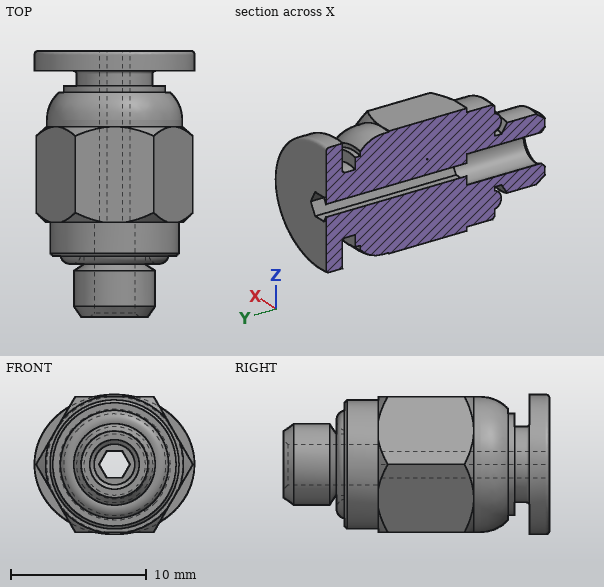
import cadquery as cq
import math


LENGTH = 19.6
THREAD_END = 3.9
COLLAR_START = 4.49
NUT_START = 7.0
NUT_END = 14.01
DOME_START = 14.5
DOME_END = 16.55
RIM_END = 17.01
FLANGE_START = 18.11

THREAD_DIA = 6.0
TIP_DIA = 4.9
TIP_CHAMFER_LENGTH = 0.78
NECK_DIA = 4.5
NECK_TAPER_START = 3.41
BORE_DIA = 3.0
BORE_MOUTH_DIA = 3.65
BORE_MOUTH_DEPTH = (BORE_MOUTH_DIA - BORE_DIA) / 2
BORE_DEPTH = NUT_START
HEX_SOCKET_FLATS = 1.96

SEAL_DIA = 8.0
SEAL_SECTION_RADIUS = 0.75
COLLAR_DIA = 9.5
COLLAR_CHAMFER = 0.22

NUT_FLATS = 10.0
NUT_CHAMFER_LENGTH = 0.69
NUT_LOWER_FACE_DIA = 10.15
NUT_UPPER_FACE_DIA = NUT_FLATS

DOME_DIA = 10.0
DOME_RADIUS = 2.75
RIM_DIA = 7.5
SLEEVE_DIA = 5.6
SLEEVE_FILLET = 0.22

FLANGE_WIDTH = 11.8
FLANGE_HEIGHT = 10.3
FLANGE_FILLET = 0.3


def section_at(y):
    """Sketch plane across the axis at the given Y, facing +Y."""
    return cq.Workplane("XZ", origin=(0, y, 0)).workplane(invert=True)


def cylinder(diameter, start, end):
    return section_at(start).circle(diameter / 2).extrude(end - start)


def hexagon(flats, start, end):
    """Hexagonal prism with its corners on the X axis."""
    corners = flats / math.cos(math.pi / 6)
    return section_at(start).polygon(6, corners).extrude(end - start)


def spin(profile):
    """Revolve a closed XY profile about the Y axis."""
    return profile.close().revolve(360, (0, 0, 0), (0, 1, 0))


def threaded_end():
    thread_radius = THREAD_DIA / 2
    neck_radius = NECK_DIA / 2
    outline = [
        (0, 0),
        (TIP_DIA / 2, 0),
        (thread_radius, TIP_CHAMFER_LENGTH),
        (thread_radius, NECK_TAPER_START),
        (neck_radius, THREAD_END),
        (neck_radius, COLLAR_START),
        (0, COLLAR_START),
    ]
    return spin(cq.Workplane("XY").polyline(outline))


def sealing_ring():
    """Torus partly sunk into the collar."""
    centre_radius = SEAL_DIA / 2 - SEAL_SECTION_RADIUS
    section = cq.Workplane("XY").center(centre_radius, THREAD_END + SEAL_SECTION_RADIUS)
    axis_offset = -centre_radius
    return section.circle(SEAL_SECTION_RADIUS).revolve(360, (axis_offset, 0, 0), (axis_offset, 1, 0))


def collar():
    return cylinder(COLLAR_DIA, COLLAR_START, NUT_START).faces("<Y").chamfer(COLLAR_CHAMFER)


def nut():
    """Hexagonal prism whose corners are cut back by a cone at each end."""
    corner_radius = NUT_FLATS / 2 / math.cos(math.pi / 6)
    outline = [
        (0, NUT_START),
        (NUT_LOWER_FACE_DIA / 2, NUT_START),
        (corner_radius, NUT_START + NUT_CHAMFER_LENGTH),
        (corner_radius, NUT_END - NUT_CHAMFER_LENGTH),
        (NUT_UPPER_FACE_DIA / 2, NUT_END),
        (0, NUT_END),
    ]
    envelope = spin(cq.Workplane("XY").polyline(outline))
    return hexagon(NUT_FLATS, NUT_START, NUT_END).intersect(envelope)


def dome():
    """Short cylinder closed by an arc tangent to its side."""
    base_radius = DOME_DIA / 2
    arc_centre = base_radius - DOME_RADIUS
    rise = DOME_END - DOME_START
    top_radius = arc_centre + math.sqrt(DOME_RADIUS**2 - rise**2)
    half_angle = math.asin(rise / DOME_RADIUS) / 2
    arc_middle = (
        arc_centre + DOME_RADIUS * math.cos(half_angle),
        DOME_START + DOME_RADIUS * math.sin(half_angle),
    )
    profile = (
        cq.Workplane("XY")
        .moveTo(0, NUT_END)
        .lineTo(base_radius, NUT_END)
        .lineTo(base_radius, DOME_START)
        .threePointArc(arc_middle, (top_radius, DOME_END))
        .lineTo(0, DOME_END)
    )
    return spin(profile)


def release_sleeve():
    """Rim and sleeve, flaring out in a concave fillet where the sleeve meets the flange."""
    rim = cylinder(RIM_DIA, DOME_END, RIM_END)
    sleeve_radius = SLEEVE_DIA / 2
    fillet_start = FLANGE_START - SLEEVE_FILLET
    inset = SLEEVE_FILLET * (1 - math.cos(math.pi / 4))
    profile = (
        cq.Workplane("XY")
        .moveTo(0, RIM_END)
        .lineTo(sleeve_radius, RIM_END)
        .lineTo(sleeve_radius, fillet_start)
        .threePointArc(
            (sleeve_radius + inset, FLANGE_START - inset),
            (sleeve_radius + SLEEVE_FILLET, FLANGE_START),
        )
        .lineTo(0, FLANGE_START)
    )
    return rim.union(spin(profile))


def release_flange():
    flange = section_at(FLANGE_START).ellipse(FLANGE_WIDTH / 2, FLANGE_HEIGHT / 2)
    return flange.extrude(LENGTH - FLANGE_START).faces(">Y").edges().fillet(FLANGE_FILLET)


def passage():
    """Round bore with a countersunk mouth, then a hexagonal hole to the far end."""
    bore_radius = BORE_DIA / 2
    outline = [
        (0, 0),
        (BORE_MOUTH_DIA / 2, 0),
        (bore_radius, BORE_MOUTH_DEPTH),
        (bore_radius, BORE_DEPTH),
        (0, BORE_DEPTH),
    ]
    bore = spin(cq.Workplane("XY").polyline(outline))
    return bore.union(hexagon(HEX_SOCKET_FLATS, BORE_DEPTH, LENGTH))


body = threaded_end()
for feature in (sealing_ring, collar, nut, dome, release_sleeve, release_flange):
    body = body.union(feature())

result = body.cut(passage())